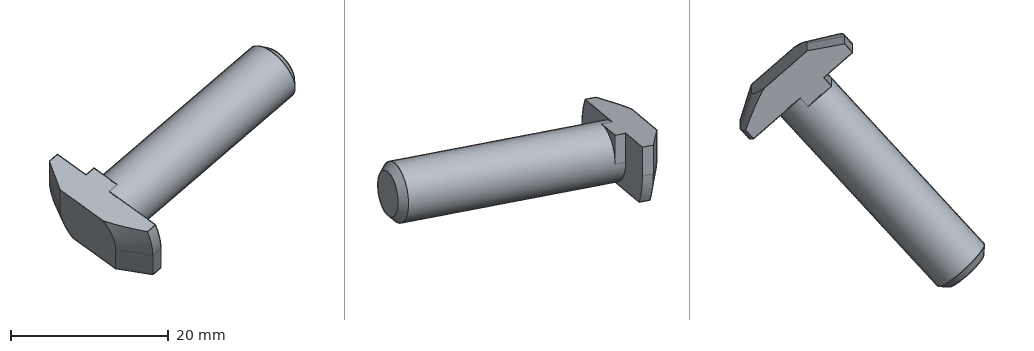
import cadquery as cq

length = 35.5
shank_diameter = 8.0
tip_chamfer = 1.0
head_width = 17.8
face_width = 9.5
head_thickness = 4.0
rim_start = 2.5
neck_end = 5.5

shank_radius = shank_diameter / 2
head_radius = head_width / 2
face_radius = face_width / 2


def half_head_profile():
    """Half section of the head in XY, from the axis out to the rim."""
    return (
        cq.Workplane("XY")
        .moveTo(0, 0)
        .lineTo(face_radius, 0)
        .lineTo(head_radius, rim_start)
        .lineTo(head_radius, head_thickness)
        .lineTo(0, head_thickness)
        .close()
    )


def rounded_quarter():
    """Conical quarter at +X +Z, trimmed to the head height."""
    cone = half_head_profile().revolve(360, (0, 0, 0), (0, 1, 0))
    quadrant = cq.Workplane("XY").box(head_radius, head_thickness, shank_radius, centered=False)
    return cone.intersect(quadrant)


def square_quarter():
    """Straight wedge quarter at +X -Z, with its square neck."""
    wedge = half_head_profile().extrude(-shank_radius)
    neck = (
        cq.Workplane("XY")
        .box(shank_radius, neck_end - head_thickness, shank_radius, centered=False)
        .translate((0, head_thickness, -shank_radius))
    )
    return wedge.union(neck)


def shank():
    """Round shank with a chamfered tip, rooted in the back of the head."""
    return (
        cq.Workplane("XZ", origin=(0, head_thickness / 2, 0))
        .circle(shank_radius)
        .extrude(-(length - head_thickness / 2))
        .faces(">Y")
        .chamfer(tip_chamfer)
    )


half_head = rounded_quarter().union(square_quarter())
opposite_half = half_head.rotate((0, 0, 0), (0, 1, 0), 180)

result = half_head.union(opposite_half).union(shank())